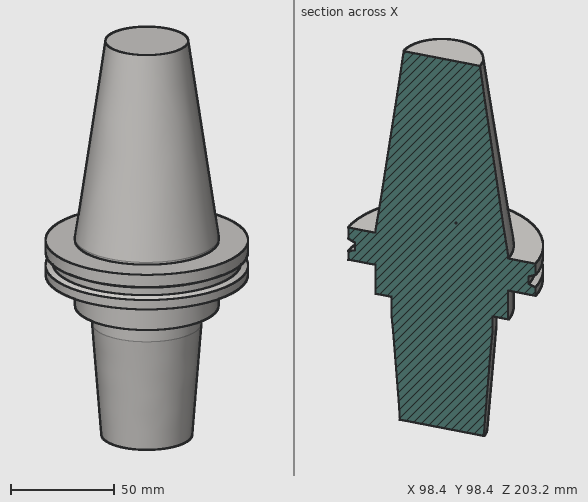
import cadquery as cq

total_height = 203.2

gauge_radius = 35.0
taper_length = 101.5
taper_ratio = 7 / 24
taper_small_radius = gauge_radius - taper_length * taper_ratio / 2
gauge_z = total_height - taper_length

flange_radius = 49.2
flange_top_z = 100.4
flange_bottom_z = 82.5
groove_floor_radius = 45.7
groove_upper_edge_z = 94.0
groove_floor_top_z = 92.5
groove_floor_bottom_z = 88.5
groove_lower_edge_z = 87.4

sleeve_radius = gauge_radius
sleeve_bottom_z = 66.6
neck_radius = 26.6
neck_bottom_z = 57.5
nose_tip_radius = 22.1

half_section = [
    (0, 0),
    (nose_tip_radius, 0),
    (neck_radius, neck_bottom_z),
    (neck_radius, sleeve_bottom_z),
    (sleeve_radius, sleeve_bottom_z),
    (sleeve_radius, flange_bottom_z),
    (flange_radius, flange_bottom_z),
    (flange_radius, groove_lower_edge_z),
    (groove_floor_radius, groove_floor_bottom_z),
    (groove_floor_radius, groove_floor_top_z),
    (flange_radius, groove_upper_edge_z),
    (flange_radius, flange_top_z),
    (gauge_radius, flange_top_z),
    (gauge_radius, gauge_z),
    (taper_small_radius, total_height),
    (0, total_height),
]

result = cq.Workplane("XZ").polyline(half_section).close().revolve(360, (0, 0), (0, 1))